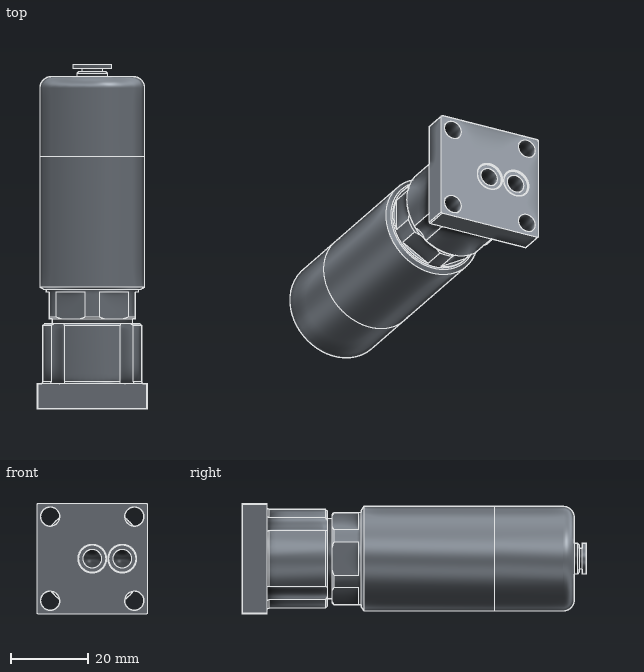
import cadquery as cq
import math

overall_length = 88.9

flange_size = 28.6
flange_thickness = 6.5
flange_edge_chamfer = 0.3
bolt_pitch = 21.7
bolt_hole_diameter = 4.9

port_spacing = 7.75
port_diameter = 4.8
port_depth = 8.0
seal_diameter = 7.0
seal_depth = 0.4
seal_chamfer = 0.2

barrel_radius = 12.8
barrel_top = 22.0
barrel_chamfer = 0.5
barrel_root_height = 0.5
barrel_root_width = 0.2
flute_radius = 3.65

neck_radius = 10.4
hex_bottom = 23.2
hex_across_flats = 22.3
hex_corner_radius = 11.95
hex_chamfer = 0.5
hex_flat_top = 30.1

tube_radius = 13.55
tube_bottom = 30.75
tube_chamfer_height = 0.7
tube_chamfer_width = 1.1
cap_bottom = 65.2
cap_top = 85.8
cap_fillet = 2.95

collar_radius = 4.0
collar_top = 87.1
collar_chamfer = 0.5
stem_radius = 2.7
knob_length = 10.0
knob_width = 8.0
knob_thickness = 1.1


def rod(radius, start, end):
    """Cylinder on the Y axis from Y = start to Y = end."""
    return cq.Workplane("XZ", origin=(0, start, 0)).circle(radius).extrude(start - end)


def bolt_cylinders(radius, start, end):
    """Four cylinders on the bolt axes from Y = start to Y = end."""
    plane = cq.Workplane("XZ", origin=(0, start, 0))
    axes = plane.rect(bolt_pitch, bolt_pitch, forConstruction=True).vertices()
    return axes.circle(radius).extrude(start - end)


def make_flange():
    flange = (
        cq.Workplane("XZ")
        .rect(flange_size, flange_size)
        .extrude(-flange_thickness)
        .edges("|Y")
        .chamfer(flange_edge_chamfer)
    )
    return flange.cut(bolt_cylinders(bolt_hole_diameter / 2, 0, flange_thickness))


def make_barrel():
    barrel = rod(barrel_radius, flange_thickness, barrel_top).faces(">Y").chamfer(barrel_chamfer)
    root_outer = barrel_radius + barrel_root_width
    root = (
        cq.Workplane("XY")
        .moveTo(0, flange_thickness)
        .lineTo(root_outer, flange_thickness)
        .lineTo(barrel_radius, flange_thickness + barrel_root_height)
        .lineTo(0, flange_thickness + barrel_root_height)
        .close()
        .revolve(360, (0, 0, 0), (0, 1, 0))
    )
    return barrel.union(root).cut(bolt_cylinders(flute_radius, flange_thickness, barrel_top))


def make_hexagon():
    """Round collar with six flats; two of the flats face +X and -X."""
    collar = rod(hex_corner_radius, hex_bottom, tube_bottom).faces("<Y").chamfer(hex_chamfer)
    flats = (
        cq.Workplane("XZ", origin=(0, hex_bottom, 0))
        .transformed(rotate=(0, 0, 30))
        .polygon(6, hex_across_flats / math.cos(math.pi / 6))
        .extrude(hex_bottom - hex_flat_top)
    )
    return collar.intersect(flats.union(rod(hex_corner_radius, hex_flat_top, tube_bottom)))


def make_port(x):
    """Blind hole with a hemispherical bottom and a seal counterbore with a chamfered rim."""
    bore_radius = port_diameter / 2
    seal_radius = seal_diameter / 2
    port = (
        cq.Workplane("XY")
        .lineTo(seal_radius + seal_chamfer, 0)
        .lineTo(seal_radius, seal_chamfer)
        .lineTo(seal_radius, seal_depth)
        .lineTo(bore_radius, seal_depth)
        .lineTo(bore_radius, port_depth)
        .radiusArc((0, port_depth + bore_radius), -bore_radius)
        .close()
        .revolve(360, (0, 0, 0), (0, 1, 0))
    )
    return port.translate((x, 0, 0))


def make_base():
    tube = rod(tube_radius, tube_bottom, cap_bottom)
    tube = tube.faces("<Y").chamfer(tube_chamfer_height, tube_chamfer_width)
    base = make_flange().union(make_barrel()).union(rod(neck_radius, barrel_top, hex_bottom))
    base = base.union(make_hexagon()).union(tube)
    for x in (0, port_spacing):
        base = base.cut(make_port(x))
    return base


def make_cap():
    dome = rod(tube_radius, cap_bottom, cap_top).faces(">Y").edges().fillet(cap_fillet)
    collar = rod(collar_radius, cap_top, collar_top).faces(">Y").chamfer(collar_chamfer)
    knob_bottom = overall_length - knob_thickness
    stem = rod(stem_radius, collar_top, knob_bottom)
    knob_plane = cq.Workplane("XZ", origin=(0, knob_bottom, 0))
    knob = knob_plane.slot2D(knob_length, knob_width).extrude(-knob_thickness)
    return dome.union(collar).union(stem).union(knob)


base = make_base()
cap = make_cap()
result = cq.Compound.makeCompound([base.val(), cap.val()])